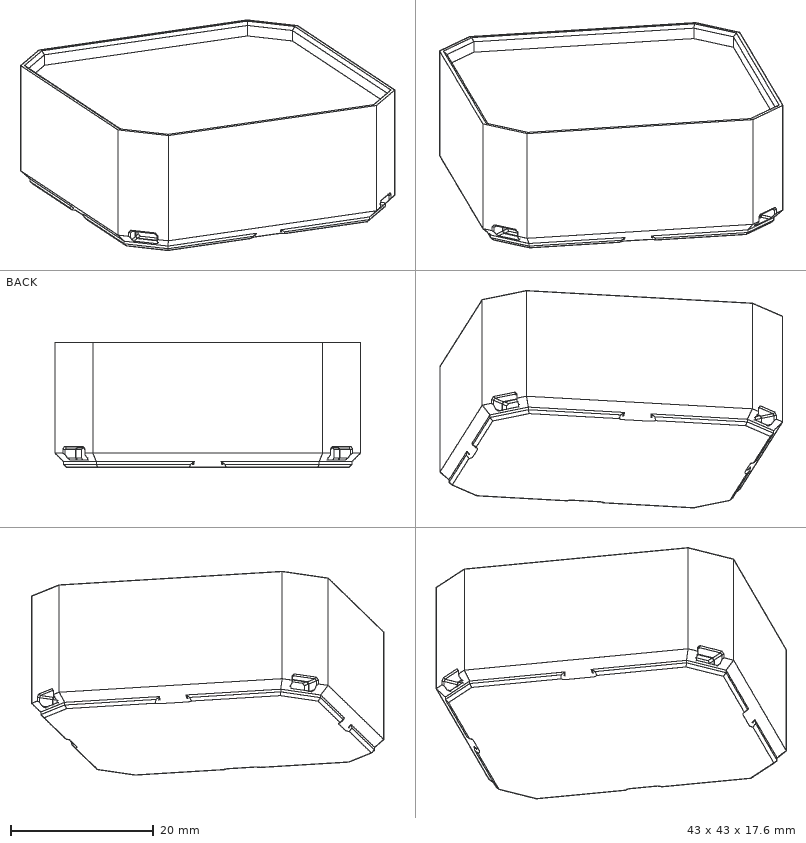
import cadquery as cq
import math

width = 43.0
height = 17.6
corner_leg = 5.35

foot_height = 2.0
lip_inset = 1.2
lip_bevel = 0.45
notch_width = 3.8

rim_width = 0.5
rim_bevel = 0.47
recess_depth = 2.0

slot_width = 3.95
slot_bottom = 1.08
slot_top = 2.75
slot_corner = 0.25
slot_depth = 3.6
undercut_start = 2.4
undercut = 0.1
mouth_bevel = 0.2

LEG_SHRINK = 2 - math.sqrt(2)
FOOT_TAPER = -45

QUARTER_TURNS = (0, 90, 180, 270)

lip_top = foot_height - lip_inset


def cut_corner_outline(length, breadth, leg):
    """Points of a centred rectangle with its four corners cut at 45 degrees."""
    x, y = length / 2, breadth / 2
    return [
        (x - leg, -y), (x, leg - y), (x, y - leg), (x - leg, y),
        (leg - x, y), (-x, y - leg), (-x, leg - y), (leg - x, -y),
    ]


def block_outline(inset):
    side = width - 2 * inset
    return cut_corner_outline(side, side, corner_leg - inset * LEG_SHRINK)


def octagon(z_low, z_high, inset_low, inset_high):
    """Slice of the block whose outline inset changes evenly between two levels."""
    return (
        cq.Workplane("XY")
        .workplane(offset=z_low)
        .polyline(block_outline(inset_low))
        .close()
        .workplane(offset=z_high - z_low)
        .polyline(block_outline(inset_high))
        .close()
        .loft(ruled=True)
    )


def block():
    upper = octagon(foot_height, height, 0, 0)
    slope = octagon(0, foot_height, foot_height, 0)
    return upper.union(slope)


def notch():
    """Gap in the lip at the middle of the -Y side; its walls continue the 45 degree slope."""
    inner = lip_inset - width / 2
    outer = inner - lip_inset
    half_inner = notch_width / 2
    half_outer = half_inner + lip_inset
    points = [(-half_inner, inner), (half_inner, inner), (half_outer, outer), (-half_outer, outer)]
    return (
        cq.Workplane("XY")
        .workplane(offset=lip_top)
        .polyline(points)
        .close()
        .extrude(-lip_top, taper=FOOT_TAPER)
    )


def lip():
    bevel = octagon(0, lip_bevel, lip_inset + lip_bevel, lip_inset)
    ring = bevel.union(octagon(lip_bevel, lip_top, lip_inset, lip_inset))
    for angle in QUARTER_TURNS:
        ring = ring.cut(notch().rotate((0, 0, 0), (0, 0, 1), angle))
    return ring


def recess():
    rim_foot = rim_width + rim_bevel
    bevel = octagon(height - rim_bevel, height, rim_foot, rim_width)
    well = octagon(height - recess_depth, height - rim_bevel, rim_foot, rim_foot)
    return bevel.union(well)


def slot_outline(growth):
    """Slot cross-section with every side moved outwards by growth."""
    return cut_corner_outline(
        slot_width + 2 * growth,
        slot_top - slot_bottom + 2 * growth,
        slot_corner + growth * LEG_SHRINK,
    )


def slot_slice(x_low, x_high, growth_low, growth_high):
    """Slice of a slot lying along X whose growth changes evenly between two places."""
    return (
        cq.Workplane("YZ", origin=(x_low, 0, (slot_top + slot_bottom) / 2))
        .polyline(slot_outline(growth_low))
        .close()
        .workplane(offset=x_high - x_low)
        .polyline(slot_outline(growth_high))
        .close()
        .loft(ruled=True)
    )


def corner_slot():
    """Slot entering one corner face, shaped along X and then turned onto the corner."""
    face = (width - corner_leg) / math.sqrt(2)
    throat = slot_slice(face - undercut_start, face - mouth_bevel, 0, 0)
    mouth = slot_slice(face - mouth_bevel, face, 0, mouth_bevel)
    deep_end = slot_slice(face - slot_depth, face - undercut_start, undercut, undercut)
    return throat.union(mouth).union(deep_end).rotate((0, 0, 0), (0, 0, 1), 45)


result = block().union(lip()).cut(recess())
for angle in QUARTER_TURNS:
    result = result.cut(corner_slot().rotate((0, 0, 0), (0, 0, 1), angle))